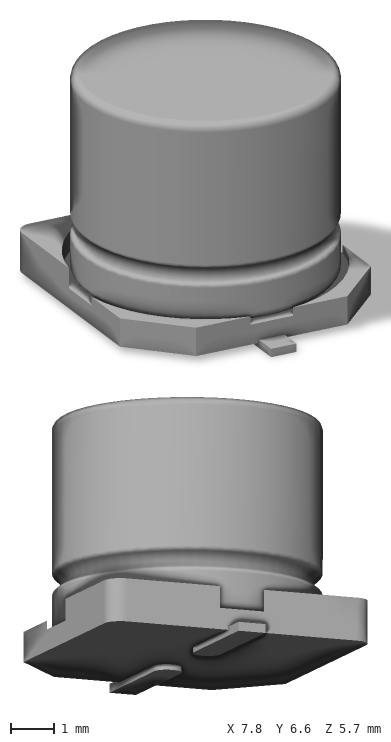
import cadquery as cq

total_length = 7.8
base_width = 6.6
total_height = 5.7

base_bottom = 0.13
base_top = 1.155
base_low_top = 0.85
base_corner_radius = 0.405
base_chamfer = 1.31
pocket_floor = 0.64
pocket_radius = 3.35

can_diameter = 6.3
can_radius = can_diameter / 2
can_edge_radius = 0.2
groove_height = 1.85
groove_depth = 0.195
groove_radius = 0.207
groove_lip_radius = 0.11

lead_width = 0.67
lead_thickness = 0.21
lead_inner_end = 0.89
lead_corner_radius = 0.32


def make_base():
    """Square base, rounded at -X, chamfered at +X, with a round pocket for the can."""
    base = (
        cq.Workplane("XY", origin=(0, 0, base_bottom))
        .rect(base_width, base_width)
        .extrude(base_top - base_bottom)
        .edges("|Z and <X").fillet(base_corner_radius)
        .edges("|Z and >X").chamfer(base_chamfer)
    )
    pocket = (
        cq.Workplane("XY", origin=(0, 0, pocket_floor))
        .circle(pocket_radius)
        .extrude(base_top - pocket_floor)
    )
    low_side = cq.Workplane("XY", origin=(0, 0, base_low_top)).box(
        base_width, base_width, base_top - base_low_top, centered=(False, True, False)
    )
    return base.cut(pocket).cut(low_side)


def make_can():
    """Round can with rolled ends and a crimped groove with rounded lips."""
    can = (
        cq.Workplane("XY", origin=(0, 0, pocket_floor))
        .circle(can_radius)
        .extrude(total_height - pocket_floor)
        .faces("<Z or >Z").edges().fillet(can_edge_radius)
    )
    groove_centre_radius = can_radius - groove_depth + groove_radius
    groove = cq.Workplane("XY").add(
        cq.Solid.makeTorus(groove_centre_radius, groove_radius, cq.Vector(0, 0, groove_height))
    )
    grooved = can.cut(groove)

    reach = groove_radius + groove_lip_radius
    near_groove = cq.selectors.BoxSelector(
        (-can_radius, -can_radius, groove_height - reach),
        (can_radius, can_radius, groove_height + reach),
    )
    widest = cq.selectors.RadiusNthSelector(-1)
    return grooved.edges("%CIRCLE").edges(near_groove).edges(widest).fillet(groove_lip_radius)


def make_lead(side):
    """Flat lead on the given X side (-1 or +1), rounded at its inner end."""
    length = total_length / 2 - lead_inner_end
    inner_edges = "|Z and >X" if side < 0 else "|Z and <X"
    return (
        cq.Workplane("XY", origin=(side * (lead_inner_end + length / 2), 0, 0))
        .box(length, lead_width, lead_thickness, centered=(True, True, False))
        .edges(inner_edges).fillet(lead_corner_radius)
    )


result = make_base().union(make_can())
for lead_side in (-1, 1):
    result = result.union(make_lead(lead_side))